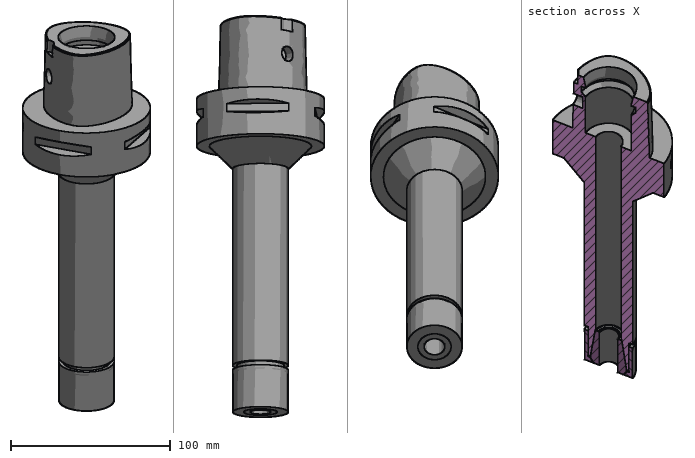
import cadquery as cq
import math


total_length = 248.0
shank_length = 48.0
flange_height = 30.0
nut_length = 26.8
relief_height = 3.0
shank_base_z = total_length - shank_length
flange_bottom_z = shank_base_z - flange_height
shaft_bottom_z = nut_length + relief_height

flange_radius = 80.0 / 2
neck_top_radius = 32.0
shaft_radius = 35.0 / 2
neck_bottom_z = flange_bottom_z - (neck_top_radius - shaft_radius)
thread_radius = 15.0

lobe_height = 1.8
lobe_points = 24
shank_base_radius = 27.8
shank_taper = 1 / 40
shank_chamfer = 0.7

mouth_radius = 35.5 / 2
bore_radius = 16.4
mouth_depth = 7.0
groove_top_depth = 9.2
groove_bottom_depth = 16.5
groove_width = 3.0
bore_depth = shank_length
channel_radius = 9.0

notch_radius = 5.7
notch_floor_y = -22.0
notch_depth = 8.0
hole_radius = 4.7
hole_z = 225.2
hole_floor_y = -18.5

slot_count = 4
slot_z = 187.7
slot_floor_distance = 70.2 / 2
slot_floor_width = 5.0
slot_mouth_width = 8.7

collet_length = 29.8
collet_bore_radius = 6.5
collet_chamfer = 0.7
collet_nose_radius = 10.5
collet_shoulder_radius = 13.0
collet_taper = math.tan(math.radians(8))
nose_height = (collet_shoulder_radius - collet_nose_radius) / math.tan(math.radians(30))
collet_back_radius = collet_shoulder_radius - (collet_length - nose_height) * collet_taper
seat_mouth_z = 5.0
seat_mouth_radius = collet_shoulder_radius - (seat_mouth_z - nose_height) * collet_taper

rim_height = 1.7
rim_step = 0.12
rim_slope_height = 0.7


def turned(points):
    """Solid of revolution about Z from (radius, z) points, starting on the -Y side."""
    profile = cq.Workplane("XZ").polyline(points).close()
    return profile.revolve(360, (0, 0, 0), (0, 1, 0)).rotate((0, 0, 0), (0, 0, 1), -90)


def lobed_wire(mean_radius, z):
    """Curve of constant width with three lobes, one of them pointing to +Y."""

    def point(angle):
        reach = mean_radius - lobe_height * math.sin(3 * angle)
        slide = -3 * lobe_height * math.cos(3 * angle)
        return cq.Vector(
            reach * math.cos(angle) - slide * math.sin(angle),
            reach * math.sin(angle) + slide * math.cos(angle),
            z,
        )

    start = -math.pi / 2
    points = [point(start + 2 * math.pi * index / lobe_points) for index in range(lobe_points)]
    return cq.Wire.assembleEdges([cq.Edge.makeSpline(points, periodic=True)])


def make_shank():
    top_radius = shank_base_radius - shank_taper * shank_length
    chamfer_radius = top_radius + shank_taper * shank_chamfer
    sections = [
        lobed_wire(shank_base_radius, shank_base_z),
        lobed_wire(chamfer_radius, total_length - shank_chamfer),
        lobed_wire(top_radius - shank_chamfer, total_length),
    ]
    return cq.Workplane(cq.Solid.makeLoft(sections, True))


def make_bore():
    """Everything removed along the axis: grooved bore, channel and collet seat."""
    return turned([
        (0, total_length),
        (mouth_radius, total_length),
        (bore_radius, total_length - mouth_depth),
        (bore_radius, total_length - groove_top_depth),
        (bore_radius + groove_width, total_length - groove_top_depth),
        (bore_radius + groove_width, total_length - groove_bottom_depth + groove_width),
        (bore_radius, total_length - groove_bottom_depth),
        (bore_radius, total_length - bore_depth),
        (channel_radius, total_length - bore_depth),
        (channel_radius, collet_length),
        (collet_back_radius, collet_length),
        (seat_mouth_radius, seat_mouth_z),
        (0, seat_mouth_z),
    ])


def make_key_notch():
    notch = cq.Workplane("XY").workplane(offset=total_length - notch_depth)
    return notch.center(0, notch_floor_y - notch_radius).circle(notch_radius).extrude(notch_depth)


def make_locating_hole():
    hole = cq.Workplane("XZ", origin=(0, hole_floor_y, hole_z))
    return hole.circle(hole_radius).extrude(flange_radius + hole_floor_y)


def make_gripper_slot(angle):
    """Straight slot across the flange rim with sloping sides, opening outward along the angle."""
    slot = (
        cq.Workplane("XZ")
        .polyline([
            (slot_floor_distance, slot_z - slot_floor_width / 2),
            (flange_radius, slot_z - slot_mouth_width / 2),
            (flange_radius, slot_z + slot_mouth_width / 2),
            (slot_floor_distance, slot_z + slot_floor_width / 2),
        ])
        .close()
        .extrude(flange_radius, both=True)
    )
    return slot.rotate((0, 0, 0), (0, 0, 1), angle)


def make_holder():
    body = turned([
        (0, shank_base_z),
        (flange_radius, shank_base_z),
        (flange_radius, flange_bottom_z),
        (neck_top_radius, flange_bottom_z),
        (shaft_radius, neck_bottom_z),
        (shaft_radius, shaft_bottom_z),
        (thread_radius, shaft_bottom_z),
        (thread_radius, seat_mouth_z),
        (0, seat_mouth_z),
    ])
    body = body.union(make_shank())
    body = body.cut(make_bore()).cut(make_key_notch()).cut(make_locating_hole())
    for index in range(slot_count):
        body = body.cut(make_gripper_slot((index + 0.5) * 360 / slot_count))
    return body


def make_nut():
    rim_z = nut_length - rim_height
    return turned([
        (thread_radius, nut_length),
        (shaft_radius, nut_length),
        (shaft_radius, rim_z),
        (shaft_radius - rim_step, rim_z - rim_slope_height),
        (shaft_radius - rim_step, 0),
        (collet_nose_radius, 0),
        (collet_shoulder_radius, nose_height),
        (thread_radius, nose_height),
    ])


def make_collet():
    return turned([
        (collet_bore_radius, 0),
        (collet_nose_radius, 0),
        (collet_shoulder_radius, nose_height),
        (collet_back_radius, collet_length),
        (collet_bore_radius + collet_chamfer, collet_length),
        (collet_bore_radius, collet_length - collet_chamfer),
    ])


holder = make_holder()
nut = make_nut()
collet = make_collet()

result = cq.Compound.makeCompound([holder.val(), nut.val(), collet.val()])